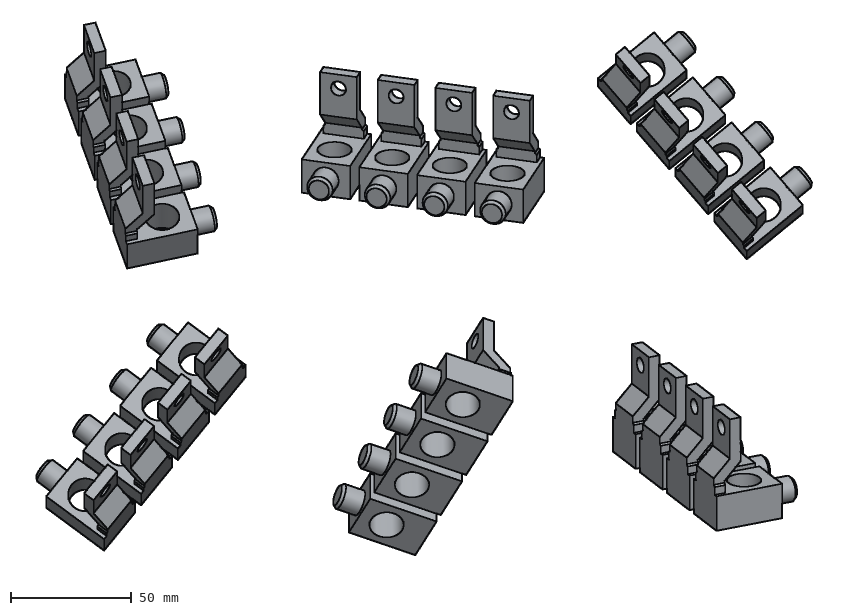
import cadquery as cq
import math

total_length = 96.0
total_depth = 40.5
clamp_count = 4
block_width = 21.0
pitch = (total_length - block_width) / (clamp_count - 1)

block_depth = 30.4
block_height = 15.6
wire_hole_diameter = 14.2
wire_hole_y = 18.0

screw_diameter = 11.0
screw_length = total_depth - block_depth
screw_chamfer_length = 1.3
screw_chamfer_inset = 1.2

tongue_width = 15.9
tongue_thickness = 5.0
tongue_top = 47.8
crank_offset = 7.5
crank_front_start = 22.7
crank_back_start = crank_front_start - tongue_thickness * math.tan(math.radians(45 / 2))
tongue_hole_diameter = 6.4
tongue_hole_z = 41.3

foot_width = 17.5
foot_side_top = 19.0
foot_shoulder_top = foot_side_top + (foot_width - tongue_width) / 2


def make_block():
    """Rectangular block centred on x = 0."""
    return cq.Workplane("XY").box(
        block_width, block_depth, block_height, centered=(True, False, False)
    )


def make_screw_end():
    """Cylinder on the middle of the back face, chamfered at its free end."""
    radius = screw_diameter / 2
    profile = [
        (0, 0),
        (radius, 0),
        (radius, screw_length - screw_chamfer_length),
        (radius - screw_chamfer_inset, screw_length),
        (0, screw_length),
    ]
    screw_end = cq.Workplane("XY").polyline(profile).close().revolve(360, (0, 0), (0, 1))
    return screw_end.translate((0, block_depth, block_height / 2))


def make_tongue():
    """Flat strip that steps back at 45 degrees and then rises to the top."""
    front_y = crank_offset
    back_y = crank_offset + tongue_thickness
    profile = [
        (0, block_height),
        (0, crank_front_start),
        (front_y, crank_front_start + crank_offset),
        (front_y, tongue_top),
        (back_y, tongue_top),
        (back_y, crank_back_start + crank_offset),
        (tongue_thickness, crank_back_start),
        (tongue_thickness, block_height),
    ]
    return cq.Workplane("YZ").polyline(profile).close().extrude(tongue_width / 2, both=True)


def make_foot():
    """Foot as thick as the tongue, sloping in to the tongue's width at its top."""
    half_foot = foot_width / 2
    half_tongue = tongue_width / 2
    profile = [
        (-half_foot, block_height),
        (-half_foot, foot_side_top),
        (-half_tongue, foot_shoulder_top),
        (half_tongue, foot_shoulder_top),
        (half_foot, foot_side_top),
        (half_foot, block_height),
    ]
    return cq.Workplane("XZ").polyline(profile).close().extrude(-tongue_thickness)


def make_wire_hole():
    """Vertical cutter that passes through the block."""
    hole = cq.Workplane("XY").circle(wire_hole_diameter / 2).extrude(block_height)
    return hole.translate((0, wire_hole_y, 0))


def make_tongue_hole():
    """Cutter along Y that passes through the upper part of the tongue."""
    tongue_back = crank_offset + tongue_thickness
    hole = cq.Workplane("XZ").circle(tongue_hole_diameter / 2).extrude(-tongue_back)
    return hole.translate((0, 0, tongue_hole_z))


def make_clamp(x_position):
    """One complete clamp, centred on the given x position."""
    clamp = make_block().union(make_screw_end()).union(make_foot()).union(make_tongue())
    clamp = clamp.cut(make_wire_hole()).cut(make_tongue_hole()).clean()
    return clamp.translate((x_position, 0, 0))


clamps = []
for index in range(clamp_count):
    clamp_x = (index - (clamp_count - 1) / 2) * pitch
    clamps.append(make_clamp(clamp_x).solids().val())

result = cq.Compound.makeCompound(clamps)